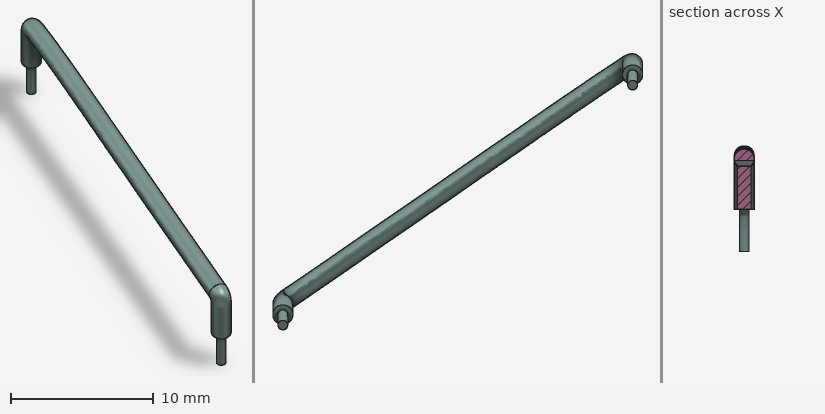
import cadquery as cq

overall_length = 31.4
overall_height = 7.4
sleeve_diameter = 1.4
pin_diameter = 0.7
sleeve_length = 3.0
bend_radius = 0.5
bow_height = 0.22
rise_control_x = -10.05
level_control_x = -2.5

sleeve_radius = sleeve_diameter / 2
leg_x = overall_length / 2 - sleeve_radius
wire_end_x = leg_x - bend_radius
wire_z = overall_height - sleeve_radius - bow_height
bend_z = wire_z - bend_radius
sleeve_bottom_z = bend_z - sleeve_length
pin_length = sleeve_bottom_z


def make_leg(side):
    """Pin and sleeve at one end; side is -1 for the left and 1 for the right."""
    base = cq.Workplane("XY", origin=(side * leg_x, 0, 0))
    pin = base.circle(pin_diameter / 2).extrude(pin_length)
    sleeve = base.workplane(offset=pin_length).circle(sleeve_radius).extrude(sleeve_length)
    return pin.union(sleeve)


def make_elbow(side):
    """Quarter-turn bend, cut off at its turning axis where the tube would cross itself."""
    half_chord = (sleeve_radius**2 - bend_radius**2) ** 0.5
    profile = (
        cq.Workplane("XY", origin=(side * wire_end_x, 0, bend_z))
        .moveTo(0, -half_chord)
        .threePointArc((side * (bend_radius + sleeve_radius), 0), (0, half_chord))
        .close()
    )
    return profile.revolve(90, (0, 0), (0, -side))


def make_wire():
    """Round wire swept along the bowed centreline between the two elbows."""
    control_rise = bow_height * 9 / 4
    path = cq.Workplane("XZ").bezier(
        [
            (-wire_end_x, wire_z),
            (rise_control_x, wire_z + control_rise),
            (level_control_x, wire_z),
            (wire_end_x, wire_z),
        ]
    )
    section = cq.Workplane("YZ", origin=(-wire_end_x, 0, wire_z)).circle(sleeve_radius)
    return section.sweep(path)


result = make_wire()
for end_side in (-1, 1):
    result = result.union(make_elbow(end_side)).union(make_leg(end_side))